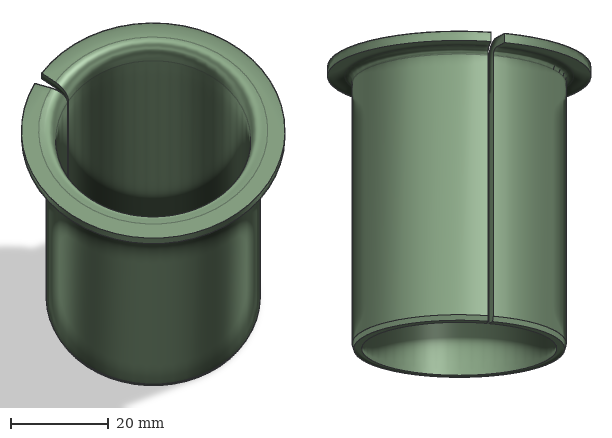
import cadquery as cq
import math

height = 60.0
flange_radius = 27.0
bore_radius = 20.0
wall = 2.0
bend_inner_radius = 1.5
chamfer_height = 1.1
chamfer_depth = 0.35
slit_angle = 20.0
slit_tip_radius = 18.7

tube_radius = bore_radius + wall
bend_outer_radius = bend_inner_radius + wall
bend_center_radius = tube_radius + bend_inner_radius
bend_center_z = height - bend_outer_radius
flange_bottom_z = height - wall
diagonal = math.sqrt(0.5)


def bend_midpoint(radius):
    """Midpoint of a quarter bend arc in the radial section."""
    return (bend_center_radius - radius * diagonal, bend_center_z + radius * diagonal)


def make_bushing():
    """Revolve the wall section: tube, bend and flange with a chamfered lower end."""
    section = (
        cq.Workplane("XZ")
        .moveTo(bore_radius, 0)
        .lineTo(tube_radius - chamfer_depth, 0)
        .lineTo(tube_radius, chamfer_height)
        .lineTo(tube_radius, bend_center_z)
        .threePointArc(bend_midpoint(bend_inner_radius), (bend_center_radius, flange_bottom_z))
        .lineTo(flange_radius, flange_bottom_z)
        .lineTo(flange_radius, height)
        .lineTo(bend_center_radius, height)
        .threePointArc(bend_midpoint(bend_outer_radius), (bore_radius, bend_center_z))
        .close()
    )
    bushing = section.revolve(360, (0, 0, 0), (0, 1, 0))
    return bushing.rotate((0, 0, 0), (0, 0, 1), 180)


def make_slit():
    """Wedge on the -X side, widening outward through the full height."""
    outer_reach = 2 * flange_radius
    half_width = (outer_reach - slit_tip_radius) * math.tan(math.radians(slit_angle / 2))
    return (
        cq.Workplane("XY")
        .moveTo(-slit_tip_radius, 0)
        .lineTo(-outer_reach, half_width)
        .lineTo(-outer_reach, -half_width)
        .close()
        .extrude(height)
    )


result = make_bushing().cut(make_slit())